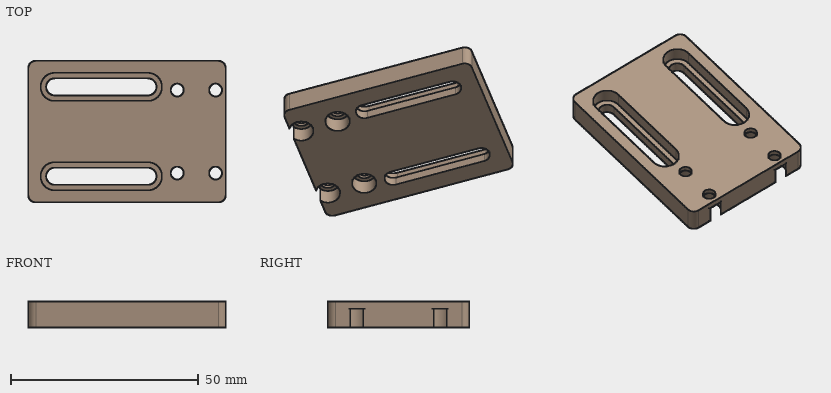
import cadquery as cq

length = 52.75
width = 37.8
thickness = 7.0
corner_radius = 2.0

slot_center_x = -6.85
slot_center_y = 11.9
slot_width = 4.5
slot_travel = 24.9
recess_width = 7.5
recess_depth = 4.0

hole_diameter = 3.4
hole_columns_x = (13.4, 23.65)
hole_row_y = 11.1
counterbore_diameter = 6.5
counterbore_depth = 5.0
seat_chamfer = 0.5


def slot_cutter(cut_width, depth):
    """Pair of slots sunk from the top face, sharing the same end arc centers."""
    return (
        cq.Workplane("XY", origin=(0, 0, thickness))
        .pushPoints([(slot_center_x, side * slot_center_y) for side in (-1, 1)])
        .slot2D(slot_travel + cut_width, cut_width)
        .extrude(-depth)
    )


def screw_hole_cutter(x, y):
    """Counterbored hole as a revolved half profile around its vertical axis."""
    hole_radius = hole_diameter / 2
    counterbore_radius = counterbore_diameter / 2
    return (
        cq.Workplane("XZ")
        .moveTo(0, 0)
        .lineTo(counterbore_radius, 0)
        .lineTo(counterbore_radius, counterbore_depth)
        .lineTo(hole_radius + seat_chamfer, counterbore_depth)
        .lineTo(hole_radius, counterbore_depth + seat_chamfer)
        .lineTo(hole_radius, thickness)
        .lineTo(0, thickness)
        .close()
        .revolve(360, (0, 0, 0), (0, 1, 0))
        .translate((x, y, 0))
    )


plate = (
    cq.Workplane("XY")
    .rect(length, width)
    .extrude(thickness)
    .edges("|Z")
    .fillet(corner_radius)
)

through_slots = slot_cutter(slot_width, thickness)
recesses = slot_cutter(recess_width, recess_depth)
result = plate.cut(through_slots).cut(recesses)

for column_x in hole_columns_x:
    for side in (-1, 1):
        result = result.cut(screw_hole_cutter(column_x, side * hole_row_y))